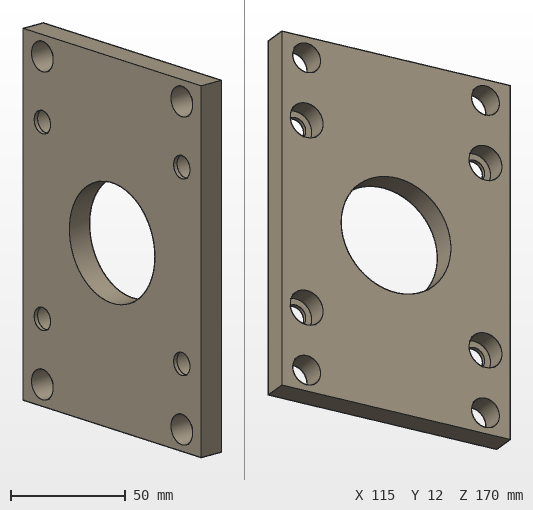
import cadquery as cq

width = 115.0
thickness = 12.0
height = 170.0

bore_diameter = 55.0

column_spacing = 90.0
inner_row_spacing = column_spacing
outer_row_spacing = 150.0
inner_hole_diameter = 10.5
outer_hole_diameter = 14.0

counterbore_diameter = 16.5
lip_thickness = 2.0
counterbore_depth = thickness - lip_thickness


def back_face(body):
    """Workplane centred on the +Y face of the plate."""
    return body.faces(">Y").workplane(origin=(0, 0, 0))


def hole_centres(body, row_spacing):
    """Corners of a centred rectangle on the +Y face."""
    return back_face(body).rect(column_spacing, row_spacing, forConstruction=True).vertices()


plate = cq.Workplane("XY").box(width, thickness, height)
plate = back_face(plate).hole(bore_diameter)
plate = hole_centres(plate, outer_row_spacing).hole(outer_hole_diameter)
plate = hole_centres(plate, inner_row_spacing).cboreHole(
    inner_hole_diameter, counterbore_diameter, counterbore_depth
)

result = plate